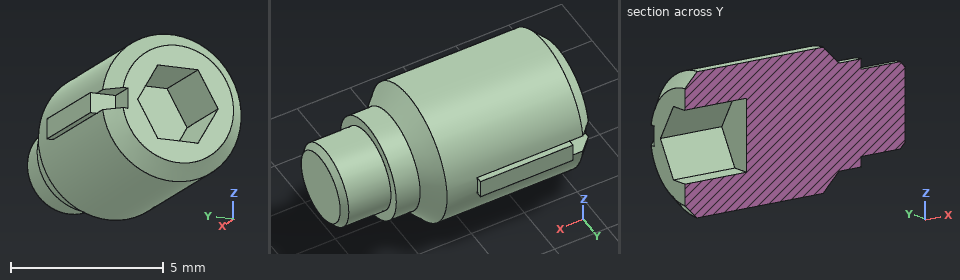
import cadquery as cq
import math

length = 9.0
body_radius = 2.5
entry_chamfer = 0.5
cone_start = 5.65
collar_start = 6.3
collar_end = 7.2
collar_radius = 1.85
pin_radius = 3.0 / 2
pin_chamfer = 0.21

socket_across_flats = 2.5
socket_depth = 2.5

insert_start = 1.0
insert_end = 4.5
insert_width = 0.68
insert_bottom = 1.8
insert_top = 2.7


def make_body():
    profile = [
        (0, 0),
        (0, body_radius - entry_chamfer),
        (entry_chamfer, body_radius),
        (cone_start, body_radius),
        (collar_start, collar_radius),
        (collar_end, collar_radius),
        (collar_end, pin_radius),
        (length - pin_chamfer, pin_radius),
        (length, pin_radius - pin_chamfer),
        (length, 0),
    ]
    return cq.Workplane("XY").polyline(profile).close().revolve(360, (0, 0), (1, 0))


def make_socket():
    across_corners = socket_across_flats / math.cos(math.radians(30))
    return cq.Workplane("YZ").polygon(6, across_corners).extrude(socket_depth)


def side_bar(start, end):
    """Bar with the insert's cross-section, from start to end along X."""
    return cq.Workplane("XY").box(
        end - start, insert_top - insert_bottom, insert_width, centered=(False, False, True)
    ).translate((start, insert_bottom, 0))


slot_opening = side_bar(0, insert_start)
insert = side_bar(insert_start, insert_end)
result = make_body().cut(make_socket()).cut(slot_opening).union(insert)